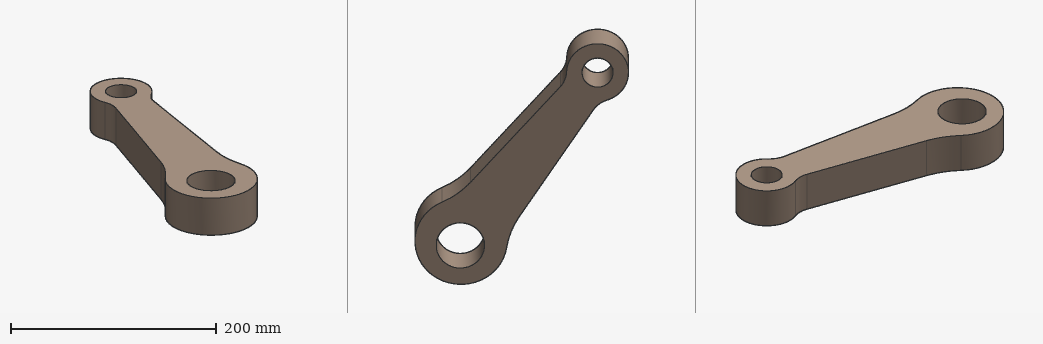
import cadquery as cq

length = 295.2
thickness = 40.0

small_radius = 30.0
big_radius = 45.0
center_distance = length - small_radius - big_radius

small_bore = 30.0
big_bore = 47.0
big_bore_shift_x = 3.8
big_bore_shift_y = -2.0

web_half_width_small = 17.7
web_half_width_big = 33.7

small_blend = 25.0
big_blend = 82.7


def cylinder(x, y, radius):
    """Upright cylinder through the full thickness."""
    return cq.Workplane("XY").center(x, y).circle(radius).extrude(thickness)


def blend_corners(body, x_start, x_end, radius):
    """Round the upright web corners lying between two X positions."""
    corners = cq.selectors.BoxSelector(
        (x_start, -big_radius, 0),
        (x_end, big_radius, thickness),
    )
    return body.edges("|Z").edges(corners).fillet(radius)


web = (
    cq.Workplane("XY")
    .polyline([
        (0, -web_half_width_small),
        (center_distance, -web_half_width_big),
        (center_distance, web_half_width_big),
        (0, web_half_width_small),
    ])
    .close()
    .extrude(thickness)
)

lever = web.union(cylinder(0, 0, small_radius))
lever = lever.union(cylinder(center_distance, 0, big_radius))

lever = blend_corners(lever, 0, small_radius, small_blend)
lever = blend_corners(lever, center_distance - big_radius, center_distance, big_blend)

lever = lever.cut(cylinder(0, 0, small_bore / 2))
result = lever.cut(
    cylinder(center_distance + big_bore_shift_x, big_bore_shift_y, big_bore / 2)
)